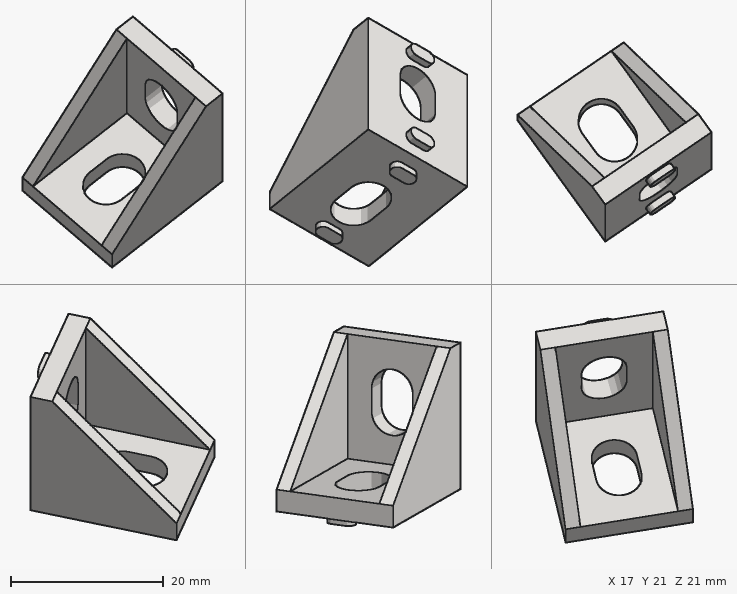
import cadquery as cq

width = 17.0
leg_length = 20.0
plate_thickness = 3.0
side_wall_thickness = 2.0

slot_width = 6.0
slot_length = 9.0
slot_distance = plate_thickness + (leg_length - plate_thickness) / 2

lug_length = 4.0
lug_width = 2.0
lug_height = 1.0
lug_distances = (3.0, 18.0)


def make_body():
    """Triangular block with blunt ends, hollowed between the two side walls."""
    block = (
        cq.Workplane("YZ")
        .moveTo(0, 0)
        .lineTo(-leg_length, 0)
        .lineTo(-leg_length, plate_thickness)
        .lineTo(-plate_thickness, leg_length)
        .lineTo(0, leg_length)
        .close()
        .extrude(width / 2, both=True)
    )
    inner_width = width - 2 * side_wall_thickness
    pocket = cq.Workplane("XY").box(
        inner_width, leg_length, leg_length, centered=(True, False, False)
    ).translate((0, -leg_length - plate_thickness, plate_thickness))
    return block.cut(pocket)


def make_floor_slot():
    """Obround cutter through the bottom plate, long in Y."""
    return (
        cq.Workplane("XY")
        .center(0, -slot_distance)
        .slot2D(slot_length, slot_width, 90)
        .extrude(plate_thickness)
    )


def make_back_slot():
    """Obround cutter through the back plate, long in Z."""
    return (
        cq.Workplane("XZ")
        .center(0, slot_distance)
        .slot2D(slot_length, slot_width, 90)
        .extrude(plate_thickness)
    )


def make_bottom_lug(distance):
    """Obround lug below the bottom face, long in X."""
    return (
        cq.Workplane("XY")
        .center(0, -distance)
        .slot2D(lug_length, lug_width)
        .extrude(-lug_height)
    )


def make_back_lug(distance):
    """Obround lug behind the back face, long in X."""
    return (
        cq.Workplane("XZ")
        .center(0, distance)
        .slot2D(lug_length, lug_width)
        .extrude(-lug_height)
    )


result = make_body().cut(make_floor_slot()).cut(make_back_slot())
for lug_distance in lug_distances:
    result = result.union(make_bottom_lug(lug_distance))
    result = result.union(make_back_lug(lug_distance))